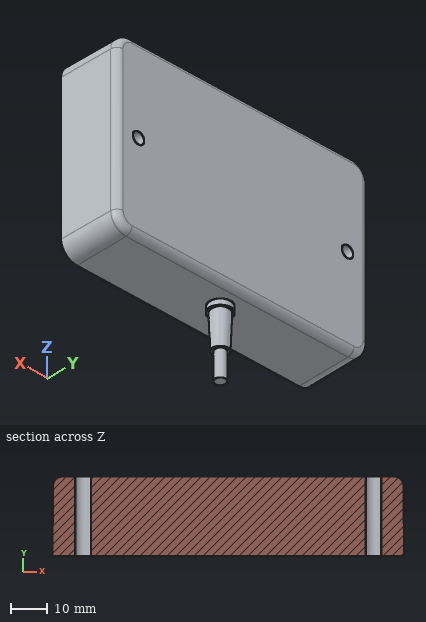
import cadquery as cq

width = 97.0
height = 66.0
depth = 22.0
corner_radius = 6.0
wall_draft = 0.5
back_edge_radius = 2.4

hole_diameter = 4.3
hole_spacing = 80.0

cable_y = 13.0
collar_diameter = 8.0
collar_end = 1.9
sleeve_top_diameter = 6.6
sleeve_bottom_diameter = 5.6
sleeve_end = 14.8
cable_diameter = 4.0
cable_end = 24.8
root_overlap = 1.0


def make_housing():
    front_outline = (
        cq.Sketch().rect(width, height).vertices().fillet(corner_radius)
    )
    slab = (
        cq.Workplane("XZ")
        .placeSketch(front_outline)
        .extrude(-depth, taper=wall_draft)
    )
    return slab.faces(">Y").edges().fillet(back_edge_radius)


def make_mounting_holes():
    return (
        cq.Workplane("XZ")
        .rarray(hole_spacing, 1, 2, 1)
        .circle(hole_diameter / 2)
        .extrude(-depth)
    )


def make_cable_outlet():
    lower_edge = -height / 2
    profile = [
        (0, lower_edge + root_overlap),
        (collar_diameter / 2, lower_edge + root_overlap),
        (collar_diameter / 2, lower_edge - collar_end),
        (sleeve_top_diameter / 2, lower_edge - collar_end),
        (sleeve_bottom_diameter / 2, lower_edge - sleeve_end),
        (cable_diameter / 2, lower_edge - sleeve_end),
        (cable_diameter / 2, lower_edge - cable_end),
        (0, lower_edge - cable_end),
    ]
    return (
        cq.Workplane("XZ", origin=(0, cable_y, 0))
        .polyline(profile)
        .close()
        .revolve(360, (0, 0, 0), (0, 1, 0))
    )


result = make_housing().union(make_cable_outlet()).cut(make_mounting_holes())